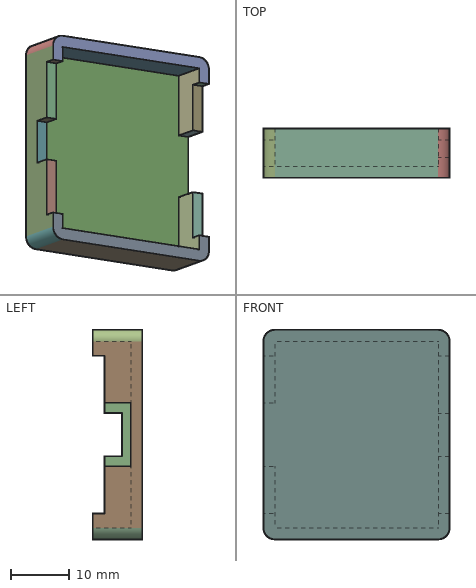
import cadquery as cq

width = 32.0
depth = 8.5
height = 36.0
corner_radius = 2.0
wall = 2.0
floor = 2.0

recess_height = 27.0
recess_depth = 2.0
left_notch_height = 10.9
right_notch_height = 7.4
right_notch_bottom = 3.5

rim_y = depth / 2
left_wall_x = -(width - wall) / 2
right_wall_x = -left_wall_x


def block_to_rim(size_x, size_z, bottom, center_x=0.0):
    """Block from `bottom` (distance from the closed face) to the open rim."""
    size_y = depth - bottom
    center_y = rim_y - size_y / 2
    return cq.Workplane("XY").box(size_x, size_y, size_z).translate((center_x, center_y, 0))


def tray():
    """Hollow box with rounded outer corners."""
    body = block_to_rim(width, height, 0).edges("|Y").fillet(corner_radius)
    cavity = block_to_rim(width - 2 * wall, height - 2 * wall, floor)
    return body.cut(cavity)


rim_recess = block_to_rim(width, recess_height, depth - recess_depth)

left_notch = block_to_rim(wall, left_notch_height, floor, left_wall_x)
right_notch = block_to_rim(wall, right_notch_height, right_notch_bottom, right_wall_x)

result = tray().cut(rim_recess).cut(left_notch).cut(right_notch)